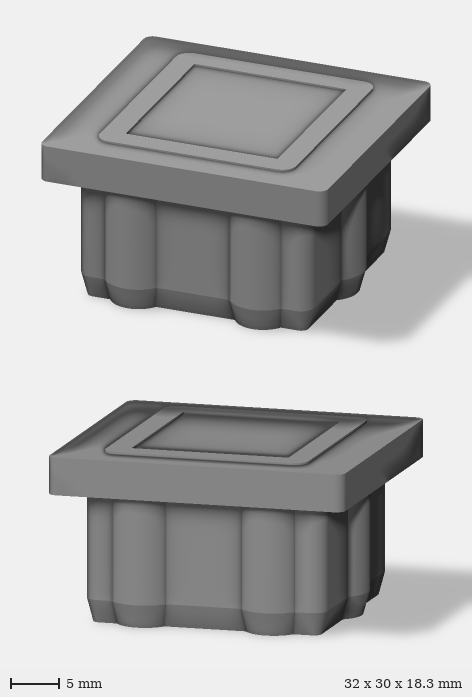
import cadquery as cq

plate_x = 32.0
plate_y = 30.0
plate_height = 4.0
plate_corner_radius = 1.0

frame_x = 21.95
frame_y = 24.0
frame_height = 0.3
frame_corner_radius = 1.5
recess_x = 17.0
recess_y = 19.0
recess_depth = frame_height

core_x = 26.0
core_y = 23.75
core_corner_radius = 1.5
rib_width = 5.82
side_rib_height = 1.3
face_rib_height = 1.45
face_rib_offset = 6.98
plug_height = 14.0
lead_in_height = 2.5
lead_in_angle = 15.0


def rounded_block(length, width, height, corner_radius, base_z):
    """Upright block centred on the Z axis with rounded vertical edges."""
    block = cq.Workplane("XY").workplane(offset=base_z).rect(length, width).extrude(height)
    return block.edges("|Z").fillet(corner_radius)


def with_lead_in(profile, x=0, y=0):
    """Extrude a sketch centred at (x, y) down the plug, narrowing over the lead-in height."""
    straight_height = plug_height - lead_in_height
    top = cq.Workplane("XY", origin=(x, y, 0))
    straight = top.placeSketch(profile).extrude(-straight_height)
    lead_in_top = top.workplane(offset=-straight_height)
    lead_in = lead_in_top.placeSketch(profile).extrude(-lead_in_height, taper=lead_in_angle)
    return straight.union(lead_in)


def rib_radius(rib_height):
    """Radius of the arc that spans the rib width and stands rib_height off the wall."""
    return ((rib_width / 2) ** 2 + rib_height ** 2) / (2 * rib_height)


def rib_post(x, y, rib_height):
    """Round post inside the core; the part that stands out of the wall is the rib."""
    return with_lead_in(cq.Sketch().circle(rib_radius(rib_height)), x, y)


def plug():
    """Core and its six ribs, hanging below z = 0."""
    core_profile = cq.Sketch().rect(core_x, core_y).vertices().fillet(core_corner_radius)
    body = with_lead_in(core_profile)
    side_post_x = core_x / 2 + side_rib_height - rib_radius(side_rib_height)
    face_post_y = core_y / 2 + face_rib_height - rib_radius(face_rib_height)
    for side in (-1, 1):
        body = body.union(rib_post(side * side_post_x, 0, side_rib_height))
        for face in (-1, 1):
            body = body.union(rib_post(side * face_rib_offset, face * face_post_y, face_rib_height))
    return body


def cover():
    """Plate with the raised frame and its recess, standing on z = 0."""
    plate = rounded_block(plate_x, plate_y, plate_height, plate_corner_radius, 0)
    frame = rounded_block(frame_x, frame_y, frame_height, frame_corner_radius, plate_height)
    top_z = plate_height + frame_height
    recess = cq.Workplane("XY").workplane(offset=top_z).rect(recess_x, recess_y).extrude(-recess_depth)
    return plate.union(frame).cut(recess)


result = cover().union(plug())